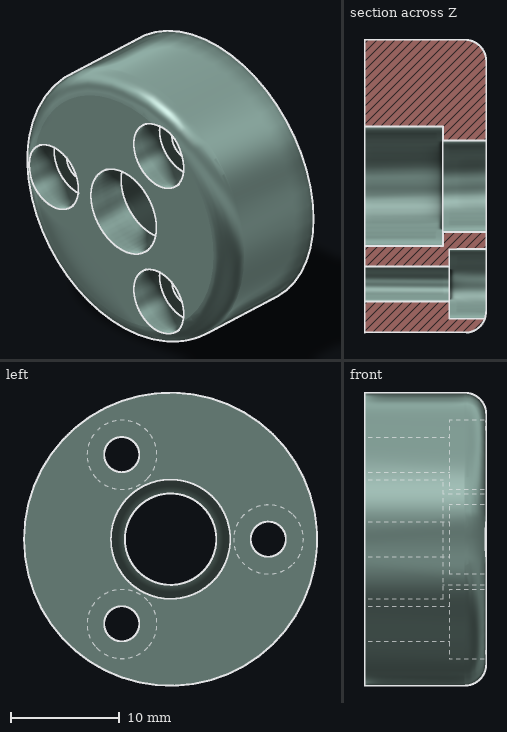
import cadquery as cq

diameter = 27.0
thickness = 11.2
rim_fillet = 2.0

bore_diameter = 8.4
recess_diameter = 11.0
recess_depth = 7.2

screw_count = 3
screw_circle_radius = 9.0
screw_diameter = 3.2
head_diameter = 6.4
head_depth = 3.4
first_screw_angle = 60.0


def cylinder_along_x(cylinder_diameter, start, length):
    return cq.Workplane("YZ", origin=(start, 0, 0)).circle(cylinder_diameter / 2).extrude(length)


def make_disc():
    return cylinder_along_x(diameter, 0, thickness).faces(">X").edges().fillet(rim_fillet)


def make_central_bore():
    bore = cylinder_along_x(bore_diameter, 0, thickness)
    recess = cylinder_along_x(recess_diameter, 0, recess_depth)
    return bore.union(recess)


def make_screw_holes():
    """Through holes with head pockets that open on the rounded +X face."""
    centres = cq.Workplane("YZ").polarArray(screw_circle_radius, first_screw_angle, 360, screw_count)
    shanks = centres.circle(screw_diameter / 2).extrude(thickness)
    head_plane = cq.Workplane("YZ", origin=(thickness - head_depth, 0, 0))
    head_centres = head_plane.polarArray(screw_circle_radius, first_screw_angle, 360, screw_count)
    heads = head_centres.circle(head_diameter / 2).extrude(head_depth)
    return shanks.union(heads)


result = make_disc().cut(make_central_bore()).cut(make_screw_holes())